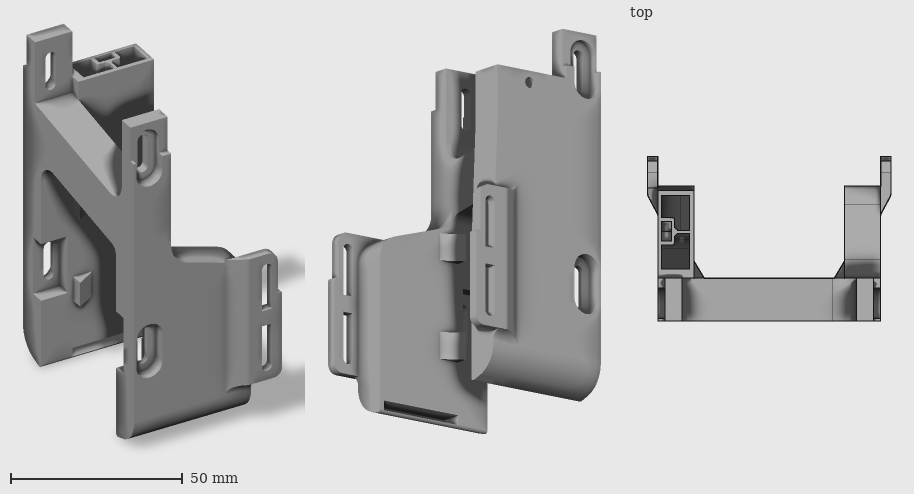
import cadquery as cq
import math

height = 108.9
plate_depth = 12.5
leg_outer = 32.5
leg_inner = 21.9
eps = 1.1
pick = 0.05

post_outer = 30.4
post_inner = 25.4
shoulder_z = 97.5
bar_slope = math.tan(math.radians(9.65))
bar_top_z = 83.8
bar_bottom_z = 67.3
bar_top_fillet = 6.0
bar_left_fillet = 6.3
bar_right_fillet = 2.7

foot_slope = math.tan(math.radians(17))
foot_radius = 8.9
toe_radius = 1.0
toe_cos = math.cos(math.atan(foot_slope))
toe_z = -toe_radius * (foot_slope + 1 / toe_cos - 1)

body_top_z = 93.5
back_top = 38.0
back_bottom = 39.4
taper_top_z = 75.1
taper_bottom_z = 40.3

roof_z = 58.8
roof_angle = math.radians(17)
roof_slope = math.tan(roof_angle)
roof_fillet = 7.6

outer_wall = 1.1
inner_wall = 1.4
pocket_back = 36.6
divider_back = 26.5
divider_front = 25.6
pocket_front = 15.1
window_front = 10.6
window_back = 38.0
window_top_z = 3.7

ramp_slope = math.tan(math.radians(29))
ramp_steep = math.tan(math.radians(61))
ramp_low_z = 65.3
ramp_end = 21.1
ramp_bend = 23.9

tube_inner_x = -28.4
tube_outer_x = -27.5
tube_y = 26.1
tube_hole_width = 5.7
tube_width = 8.1
tube_corner = 0.8
web_chamfer = 0.9
tube_floor_z = 86.0
tube_floor_slope = math.tan(math.radians(30))
pin_diameter = 3.3
pin_y = 26.1
pin_z = 90.0

slot_y = 5.2
slot_width = 3.4
slot_length = 12.7
recess_width = 8.8
recess_length = 18.1
recess_depth = 4.0
slot_z = (32.6, 97.6)

nut_depth = 4.6
nut_back = 8.9
nut_bottom_z = 22.9
nut_top_z = 42.1

stop_reach = 3.9
stop_front = 10.9
stop_back = 17.4
stop_height = 8.2
stop_z = (19.6, 49.3)

flange_outer = 35.5
flange_back = 48.0
flange_step_back = 46.6
flange_step_z = 41.6
flange_bottom_z = 13.1
flange_top_z = 55.8
flange_ramp_front = 31.0
flange_ramp_back = 36.7
flange_ramp_fillet = 2.5
flange_top_radius = 3.3
flange_bottom_radius = 2.7
flange_step_radius = 0.5
flare = 2.8
strap_y = 43.0
strap_width = 3.4
strap_end_radius = 1.6
strap_bottom_z = 16.1
strap_top_z = 52.4
strap_bridge_bottom_z = 31.7
strap_bridge_top_z = 36.8


def box(x0, x1, y0, y1, z0, z1):
    return cq.Workplane("XY").box(x1 - x0, y1 - y0, z1 - z0, centered=False).translate((x0, y0, z0))


def mirrored(body):
    return body.mirror("YZ")


def along_y(profile, y0, y1):
    """Extrude an XZ profile from y0 to y1."""
    return profile.extrude(-(y1 - y0)).translate((0, y0, 0))


def along_x(profile, x0, x1):
    """Extrude a YZ profile from x0 to x1."""
    return profile.extrude(x1 - x0).translate((x0, 0, 0))


def fillet_in_box(body, low, high, radius):
    """Fillet the edges whose centres lie between the corners low and high."""
    return body.edges(cq.selectors.BoxSelector(low, high)).fillet(radius)


def round_at(body, x, z, radius):
    """Fillet the edge along Y through the point (x, z)."""
    return fillet_in_box(body, (x - pick, -eps, z - pick), (x + pick, back_bottom + eps, z + pick), radius)


def leg_prism(y0, y1, top_z, offset=0.0):
    """Left leg section with its rounded foot; an offset moves outer side and foot inwards."""
    x_out = -leg_outer + offset
    z_toe = toe_z + offset / toe_cos
    z_out = z_toe + (leg_outer - leg_inner - offset) * foot_slope
    outline = [(x_out, z_out), (-leg_inner, z_toe), (-leg_inner, top_z), (x_out, top_z)]
    prism = along_y(cq.Workplane("XZ").polyline(outline).close(), y0, y1)
    prism = round_at(prism, x_out, z_out, foot_radius - offset)
    if offset == 0:
        prism = round_at(prism, -leg_inner, z_toe, toe_radius)
    return prism


def front_frame():
    leg = leg_prism(0, plate_depth, shoulder_z)
    leg = leg.union(box(-post_outer, -leg_inner, 0, plate_depth, shoulder_z - eps, height))
    legs = leg.union(mirrored(leg))
    z_top_left = bar_top_z + post_inner * bar_slope
    z_top_right = bar_top_z - post_inner * bar_slope
    gap = [(-post_inner, z_top_left), (post_inner, z_top_right),
           (post_inner, height + eps), (-post_inner, height + eps)]
    upper_gap = along_y(cq.Workplane("XZ").polyline(gap).close(), 0, plate_depth)
    upper_gap = round_at(upper_gap, post_inner, z_top_right, bar_top_fillet)
    z_left = bar_bottom_z + leg_inner * bar_slope
    z_right = bar_bottom_z - leg_inner * bar_slope
    gap = [(-leg_inner, -eps), (leg_inner, -eps), (leg_inner, z_right), (-leg_inner, z_left)]
    lower_gap = along_y(cq.Workplane("XZ").polyline(gap).close(), 0, plate_depth)
    lower_gap = round_at(lower_gap, -leg_inner, z_left, bar_left_fillet)
    lower_gap = round_at(lower_gap, leg_inner, z_right, bar_right_fillet)
    bar = box(-leg_outer, leg_outer, 0, plate_depth, z_right - bar_right_fillet, z_top_left)
    return legs.union(bar).cut(upper_gap).cut(lower_gap)


def left_body():
    body = leg_prism(plate_depth, back_bottom, body_top_z)
    relief = [(back_bottom + eps, taper_bottom_z), (back_bottom, taper_bottom_z), (back_top, taper_top_z),
              (back_top, body_top_z), (back_bottom + eps, body_top_z)]
    return body.cut(along_x(cq.Workplane("YZ").polyline(relief).close(), -leg_outer, -leg_inner))


def right_body():
    """Leg body under a roof that drops to the back, blended into the frame and the back face."""
    sine = math.sin(roof_angle)
    run = roof_fillet * (1 - sine)
    rise = roof_fillet * math.cos(roof_angle)
    halfway = (math.pi / 2 + roof_angle) / 2
    mid_y = roof_fillet * math.sin(halfway)
    mid_z = roof_fillet * math.cos(halfway)
    front_y = plate_depth + run
    front_centre = (plate_depth + roof_fillet, roof_z + rise)
    edge_y = back_bottom - run
    edge_z = roof_z - (edge_y - front_y) * roof_slope
    back_centre = (back_bottom - roof_fillet, edge_z - rise)
    roof = (cq.Workplane("YZ").moveTo(plate_depth, front_centre[1])
            .threePointArc((front_centre[0] - mid_y, front_centre[1] - mid_z), (front_y, roof_z))
            .lineTo(edge_y, edge_z)
            .threePointArc((back_centre[0] + mid_y, back_centre[1] + mid_z), (back_bottom, back_centre[1]))
            .lineTo(back_bottom, -eps)
            .lineTo(plate_depth - eps, -eps)
            .lineTo(plate_depth - eps, front_centre[1])
            .close())
    shape = along_x(roof, leg_inner, leg_outer)
    return mirrored(leg_prism(plate_depth - eps, back_bottom, shoulder_z)).intersect(shape)


def foot_hollow():
    """Low chamber above the foot, open through the inner face."""
    slot = box(-leg_outer, -leg_inner, window_front, window_back, 0, window_top_z)
    return leg_prism(window_front, window_back, body_top_z, outer_wall).intersect(slot)


def back_pocket():
    """Deep pocket that follows the rounded foot."""
    core = box(-leg_outer, -leg_inner - inner_wall, divider_back, pocket_back, 0, body_top_z)
    return leg_prism(divider_back, pocket_back, body_top_z, outer_wall).intersect(core)


def front_pocket():
    """Pocket whose floor is a ramp with an S-shaped rise at the divider."""
    ramp_end_z = ramp_low_z + (ramp_end - pocket_front) * ramp_slope
    mean_slope = math.tan((math.atan(ramp_slope) + math.atan(ramp_steep)) / 2)
    bend_z = ramp_end_z + (ramp_bend - ramp_end) * mean_slope
    top_z = bend_z + (divider_front - ramp_bend) * mean_slope
    outline = (cq.Workplane("YZ").moveTo(pocket_front, ramp_low_z)
               .lineTo(ramp_end, ramp_end_z)
               .tangentArcPoint((ramp_bend, bend_z), relative=False)
               .tangentArcPoint((divider_front, top_z), relative=False)
               .lineTo(divider_front, body_top_z)
               .lineTo(pocket_front, body_top_z)
               .close())
    return along_x(outline, -leg_outer + outer_wall, -leg_inner - inner_wall)


def pin_tube():
    """Full tube block, joined to the divider by small chamfers."""
    tube = box(-leg_outer, tube_outer_x, tube_y - tube_width / 2, tube_y + tube_width / 2, 0, body_top_z)
    tube = tube.edges("|Z and >X").fillet(tube_corner)
    web = [(tube_outer_x, divider_front - web_chamfer), (tube_outer_x + web_chamfer, divider_front),
           (tube_outer_x + web_chamfer, divider_back), (tube_outer_x, divider_back + web_chamfer)]
    return tube.union(cq.Workplane("XY").polyline(web).close().extrude(body_top_z))


def tube_hole():
    """Rectangular bore with a V-shaped floor."""
    half = tube_hole_width / 2
    floor_edge_z = tube_floor_z + half * tube_floor_slope
    outline = [(tube_y, tube_floor_z), (tube_y + half, floor_edge_z), (tube_y + half, body_top_z),
               (tube_y - half, body_top_z), (tube_y - half, floor_edge_z)]
    return along_x(cq.Workplane("YZ").polyline(outline).close(), -leg_outer + outer_wall, tube_inner_x)


def pin_hole():
    hole = cq.Workplane("YZ").center(pin_y, pin_z).circle(pin_diameter / 2)
    return along_x(hole, -leg_outer, -leg_outer + outer_wall)


def upright_slot(y, z, length, width, x0, x1):
    return along_x(cq.Workplane("YZ").center(y, z).slot2D(length, width, 90), x0, x1)


def leg_cuts():
    """Screw slots with their recesses, and the nut pocket, for the left leg."""
    cuts = box(-leg_inner - nut_depth, -leg_inner, 0, nut_back, nut_bottom_z, nut_top_z)
    for z in slot_z:
        recess = upright_slot(slot_y, z, recess_length, recess_width, -leg_outer, -leg_outer + recess_depth)
        slot = upright_slot(slot_y, z, slot_length, slot_width, -leg_outer, -leg_inner)
        cuts = cuts.union(recess).union(slot)
    return cuts


def stops():
    """Wedges that taper off towards the back."""
    outline = [(-leg_inner, stop_front), (-leg_inner + stop_reach, stop_front), (-leg_inner, stop_back)]
    wedge = cq.Workplane("XY").polyline(outline).close().extrude(stop_height)
    low_z, high_z = stop_z
    return wedge.translate((0, 0, low_z)).union(wedge.translate((0, 0, high_z)))


def flange_plan(z0, z1):
    """Flange section seen along Z: a rounded ramp that leads to the flat strap plate."""
    x_backing = -leg_outer + outer_wall
    plan = [(x_backing, flange_ramp_front - flare), (-leg_outer, flange_ramp_front - flare),
            (-leg_outer, flange_ramp_front), (-flange_outer, flange_ramp_back),
            (-flange_outer, flange_back), (x_backing, flange_back)]
    body = cq.Workplane("XY").polyline(plan).close().extrude(z1 - z0)
    for x, y in (plan[2], plan[3]):
        low = (x - pick, y - pick, -eps)
        high = (x + pick, y + pick, height)
        body = fillet_in_box(body, low, high, flange_ramp_fillet)
    outside = box(-flange_outer, -leg_outer, 0, flange_back, z0, z1)
    return body.translate((0, 0, z0)).intersect(outside)


def flange_side(top_flare):
    """Flange outline seen along X; the flares end at the back face of the leg body."""
    lean = (back_bottom - back_top) / (taper_top_z - taper_bottom_z)
    flare_top_z = flange_top_z + top_flare
    outline = [(flange_step_back, flange_step_z), (flange_step_back, flange_top_z),
               (back_top + (taper_top_z - flange_top_z) * lean, flange_top_z),
               (back_top + (taper_top_z - flare_top_z) * lean, flare_top_z)]
    if top_flare == 0:
        outline.pop()
    outline += [(0, flare_top_z), (0, flange_bottom_z - flare), (back_bottom, flange_bottom_z - flare),
                (back_bottom, flange_bottom_z), (flange_back, flange_bottom_z), (flange_back, flange_step_z)]
    side = along_x(cq.Workplane("YZ").polyline(outline).close(), -flange_outer, -leg_outer)
    for y, z, radius in ((flange_step_back, flange_top_z, flange_top_radius),
                         (flange_back, flange_bottom_z, flange_bottom_radius),
                         (flange_back, flange_step_z, flange_step_radius)):
        low = (-flange_outer, y - pick, z - pick)
        high = (-leg_outer, y + pick, z + pick)
        side = fillet_in_box(side, low, high, radius)
    return side


def flange_front(top_flare):
    """Flange outline seen along Y, with concave run-outs onto the leg."""
    tip = -leg_outer - flare
    bend = flare * math.sqrt(0.5)
    low_z = flange_bottom_z - flare
    outline = (cq.Workplane("XZ").moveTo(-leg_outer, low_z)
               .threePointArc((tip + bend, low_z + bend), (tip, flange_bottom_z))
               .lineTo(-flange_outer, flange_bottom_z)
               .lineTo(-flange_outer, flange_top_z)
               .lineTo(tip, flange_top_z))
    if top_flare:
        high_z = flange_top_z + flare
        outline = outline.threePointArc((tip + bend, high_z - bend), (-leg_outer, high_z))
    else:
        outline = outline.lineTo(-leg_outer, flange_top_z)
    return along_y(outline.close(), 0, flange_back)


def strap_slot(z0, z1, round_end):
    """Strap slot with square corners except for one round end."""
    x0 = -flange_outer
    x1 = -leg_outer
    slot = box(x0, x1, strap_y - strap_width / 2, strap_y + strap_width / 2, z0, z1)
    return slot.edges("|X and " + round_end).fillet(strap_end_radius)


def flange(top_flare):
    """Strap flange of the left leg."""
    body = flange_plan(flange_bottom_z - flare, flange_top_z + flare)
    body = body.intersect(flange_side(top_flare)).intersect(flange_front(top_flare))
    upper_slot = strap_slot(strap_bridge_top_z, strap_top_z, ">Z")
    lower_slot = strap_slot(strap_bottom_z, strap_bridge_bottom_z, "<Z")
    return body.cut(upper_slot).cut(lower_slot)


result = front_frame().union(left_body()).union(right_body())

pockets = back_pocket().union(front_pocket()).cut(pin_tube())
result = result.cut(pockets).cut(tube_hole()).cut(pin_hole())
result = result.cut(foot_hollow()).cut(mirrored(foot_hollow()))

result = result.cut(leg_cuts()).cut(mirrored(leg_cuts()))
result = result.union(stops()).union(mirrored(stops()))

result = result.union(flange(flare)).union(mirrored(flange(0)))